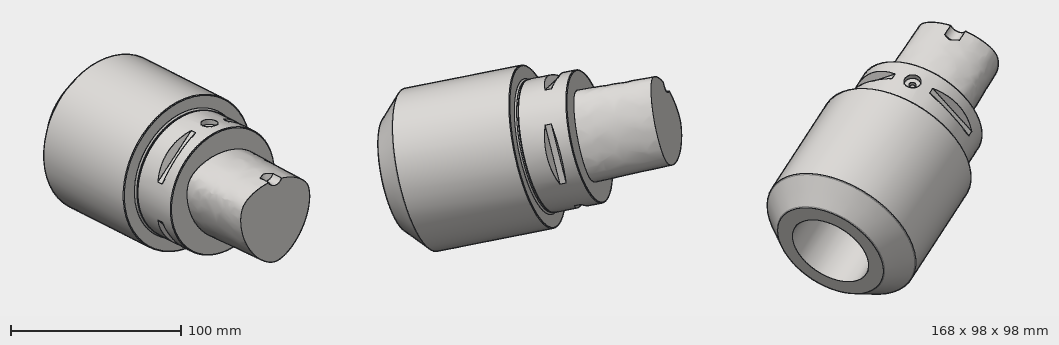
import cadquery as cq
import math

total_length = 168.0

body_diameter = 98.0
body_end = 87.7
nose_taper_length = 14.0
nose_radius = 35.3
edge_break = 0.5
bore_diameter = 50.0
bore_depth = 80.6

neck_diameter = 79.5
flange_diameter = 80.0
neck_root_bevel = 1.0
flange_start = 89.5
flange_end = 120.1

groove_center = 107.9
groove_floor_width = 3.9
groove_floor_height = 35.6
groove_flank_angle = 28.0
coding_hole_diameter = 10.0
coding_hole_depth = 3.4
pilot_hole_diameter = 4.0
pilot_hole_depth = 2.5
drill_tip_angle = 118.0
cut_clearance = 1.7

shank_start_radius = 27.5
shank_end_radius = 26.5
lobe_height = 2.0
points_per_turn = 72

notch_diameter = 10.5
notch_length = 7.9
notch_axis_height = 26.2


def make_body():
    """Nose, clamping body, neck and flange as one turned piece."""
    body_radius = body_diameter / 2
    neck_radius = neck_diameter / 2
    flange_radius = flange_diameter / 2
    profile = [
        (0, 0),
        (0, nose_radius - edge_break),
        (edge_break, nose_radius),
        (nose_taper_length, body_radius - edge_break),
        (nose_taper_length + edge_break, body_radius),
        (body_end - edge_break, body_radius),
        (body_end, body_radius - edge_break),
        (body_end, neck_radius + neck_root_bevel),
        (body_end + neck_root_bevel, neck_radius),
        (flange_start, neck_radius),
        (flange_start + edge_break, flange_radius),
        (flange_end - edge_break, flange_radius),
        (flange_end, flange_radius - edge_break),
        (flange_end, 0),
    ]
    return cq.Workplane("XY").polyline(profile).close().revolve(360, (0, 0), (1, 0))


def lobed_points(radius):
    """Constant-width three-lobed curve with one lobe pointing to -Z."""
    points = []
    for i in range(points_per_turn):
        angle = math.tau * i / points_per_turn
        along = radius * math.cos(angle) + lobe_height * (2 * math.cos(2 * angle) - math.cos(4 * angle))
        across = radius * math.sin(angle) - lobe_height * (2 * math.sin(2 * angle) + math.sin(4 * angle))
        points.append((across, -along))
    return points


def make_shank():
    return (
        cq.Workplane("YZ", origin=(flange_end, 0, 0))
        .spline(lobed_points(shank_start_radius), periodic=True)
        .close()
        .workplane(offset=total_length - flange_end)
        .spline(lobed_points(shank_end_radius), periodic=True)
        .close()
        .loft(ruled=True)
    )


def make_gripper_groove(angle):
    """Straight groove with sloped flanks, turned about X away from +Z."""
    height = flange_diameter / 2 - groove_floor_height + cut_clearance
    half_floor = groove_floor_width / 2
    half_top = half_floor + height * math.tan(math.radians(groove_flank_angle))
    section = [(-half_floor, 0), (half_floor, 0), (half_top, height), (-half_top, height)]
    groove = (
        cq.Workplane("XZ", origin=(groove_center, 0, groove_floor_height))
        .polyline(section)
        .close()
        .extrude(flange_diameter / 2, both=True)
    )
    return groove.rotate((0, 0, 0), (1, 0, 0), angle)


def make_coding_hole():
    """Flat-bottomed hole on +Z with a small cone-ended pilot hole in its floor."""
    floor = flange_diameter / 2 - coding_hole_depth
    hole = (
        cq.Workplane("XY", origin=(groove_center, 0, floor))
        .circle(coding_hole_diameter / 2)
        .extrude(coding_hole_depth + cut_clearance)
    )
    pilot_radius = pilot_hole_diameter / 2
    pilot_bottom = floor - pilot_hole_depth
    pilot_tip = pilot_bottom - pilot_radius / math.tan(math.radians(drill_tip_angle / 2))
    pilot_profile = [
        (groove_center, pilot_tip),
        (groove_center + pilot_radius, pilot_bottom),
        (groove_center + pilot_radius, floor),
        (groove_center, floor),
    ]
    pilot = (
        cq.Workplane("XZ")
        .polyline(pilot_profile)
        .close()
        .revolve(360, (groove_center, 0), (groove_center, 1))
    )
    return hole.union(pilot)


def make_key_notch():
    """Drilled half-round notch with a conical inner end."""
    radius = notch_diameter / 2
    tip_length = radius / math.tan(math.radians(drill_tip_angle / 2))
    start = total_length - notch_length
    profile = [(start - tip_length, 0), (start, radius), (total_length, radius), (total_length, 0)]
    notch = cq.Workplane("XY").polyline(profile).close().revolve(360, (0, 0), (1, 0))
    return notch.translate((0, 0, notch_axis_height))


result = make_body().union(make_shank())
result = result.cut(cq.Workplane("YZ").circle(bore_diameter / 2).extrude(bore_depth))
for groove_angle in (45, 135, 225, 315):
    result = result.cut(make_gripper_groove(groove_angle))
result = result.cut(make_coding_hole()).cut(make_key_notch())